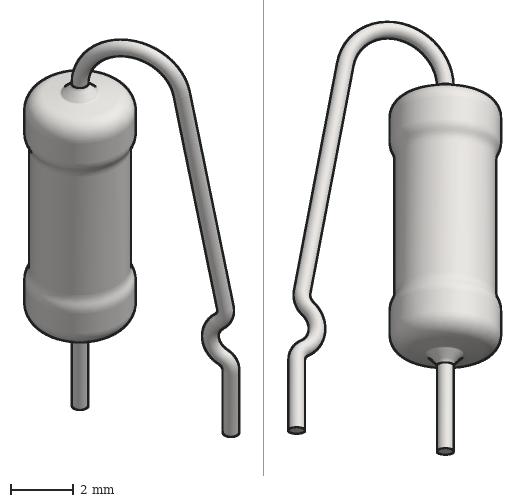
import cadquery as cq
import math


overall_height = 14.77
lead_radius = 0.55 / 2
lead_pitch = 5.08
slant_angle = 10.2
slant_length = 8.33

kink_in_heading = -50.0
kink_out_heading = 60.0
kink_entry_radius = 0.59
kink_radius = 0.85
kink_exit_radius = 0.53
up_heading = 180.0
down_heading = 0.0

cap_radius = 3.6 / 2
barrel_radius = 3.3 / 2
barrel_half_length = 2.35
step_length = 0.62
cap_half_length = 3.78
end_round_radius = 0.64
end_face_slope = 7.0

flare_foot_radius = 0.65
flare_cone_radius = 0.58
flare_throat_radius = 0.34
flare_foot_height = 0.05
flare_cone_height = 0.24
flare_throat_height = 0.12


def bend_offset(radius, start_heading, end_heading):
    """XZ displacement along an arc that turns between two headings."""
    start = math.radians(start_heading)
    end = math.radians(end_heading)
    turn = math.copysign(radius, end_heading - start_heading)
    return turn * (math.cos(start) - math.cos(end)), turn * (math.sin(start) - math.sin(end))


kink_bends = [
    (kink_entry_radius, slant_angle, kink_in_heading),
    (kink_radius, kink_in_heading, kink_out_heading),
    (kink_exit_radius, kink_out_heading, down_heading),
]
slant = math.radians(slant_angle)
slant_x = slant_length * math.sin(slant)
slant_z = -slant_length * math.cos(slant)
kink_x = sum(bend_offset(*bend)[0] for bend in kink_bends)
arch_radius = (lead_pitch - slant_x - kink_x) / (1 + math.cos(slant))
upper_tip_z = overall_height - lead_radius - arch_radius

round_sweep = math.radians(90 - end_face_slope)
step_middle = barrel_half_length + step_length / 2
step_end = barrel_half_length + step_length
end_face_radius = cap_radius - end_round_radius * (1 - math.cos(round_sweep))
round_end = cap_half_length + end_round_radius * math.sin(round_sweep)
flare_base = round_end + (end_face_radius - flare_foot_radius) * math.tan(math.radians(end_face_slope))
cone_base = flare_base + flare_foot_height
throat_base = cone_base + flare_cone_height
tip_end = throat_base + flare_throat_height
body_center_z = upper_tip_z - tip_end
lower_tip_z = body_center_z - tip_end


def make_body_end():
    """Upper cap with its flared tip, from the end of the plain barrel outward."""
    step_height = cap_radius - barrel_radius
    step_middle_radius = barrel_radius + step_height / 2
    step_bend_radius = (step_length**2 + step_height**2) / (4 * step_height)
    step_half_sweep = math.asin(step_length / 2 / step_bend_radius) / 2
    step_bend_middle = (
        barrel_radius + step_bend_radius * (1 - math.cos(step_half_sweep)),
        barrel_half_length + step_bend_radius * math.sin(step_half_sweep),
    )
    half_sweep = round_sweep / 2
    round_middle = (
        cap_radius - end_round_radius * (1 - math.cos(half_sweep)),
        cap_half_length + end_round_radius * math.sin(half_sweep),
    )
    return (
        cq.Workplane("XZ")
        .moveTo(0, barrel_half_length)
        .lineTo(barrel_radius, barrel_half_length)
        .threePointArc(step_bend_middle, (step_middle_radius, step_middle))
        .tangentArcPoint((cap_radius, step_end), relative=False)
        .lineTo(cap_radius, cap_half_length)
        .threePointArc(round_middle, (end_face_radius, round_end))
        .lineTo(flare_foot_radius, flare_base)
        .tangentArcPoint((flare_cone_radius, cone_base), relative=False)
        .lineTo(flare_throat_radius, throat_base)
        .tangentArcPoint((lead_radius, tip_end), relative=False)
        .lineTo(0, tip_end)
        .close()
        .revolve(360, (0, 0), (0, 1))
    )


def make_body():
    barrel_bottom = cq.Workplane("XY").workplane(offset=-barrel_half_length)
    barrel = barrel_bottom.circle(barrel_radius).extrude(2 * barrel_half_length)
    upper_end = make_body_end()
    lower_end = upper_end.mirror("XY")
    return barrel.union(upper_end).union(lower_end).translate((0, 0, body_center_z))


def make_straight_lead():
    return cq.Workplane("XY").circle(lead_radius).extrude(lower_tip_z)


def add_bend(path, start, radius, start_heading, end_heading):
    """Append an arc to the path and return the path with its new end point."""
    middle_x, middle_z = bend_offset(radius, start_heading, (start_heading + end_heading) / 2)
    end_x, end_z = bend_offset(radius, start_heading, end_heading)
    middle = (start[0] + middle_x, start[1] + middle_z)
    end = (start[0] + end_x, start[1] + end_z)
    return path.threePointArc(middle, end), end


def make_formed_lead():
    point = (0, upper_tip_z)
    path = cq.Workplane("XZ").moveTo(*point)
    path, point = add_bend(path, point, arch_radius, up_heading, slant_angle)
    point = (point[0] + slant_x, point[1] + slant_z)
    path = path.lineTo(*point)
    for bend in kink_bends:
        path, point = add_bend(path, point, *bend)
    path = path.lineTo(lead_pitch, 0)
    return cq.Workplane("XY", origin=(0, 0, upper_tip_z)).circle(lead_radius).sweep(path)


body = make_body()
straight_lead = make_straight_lead()
formed_lead = make_formed_lead()

result = cq.Compound.makeCompound([body.val(), straight_lead.val(), formed_lead.val()])